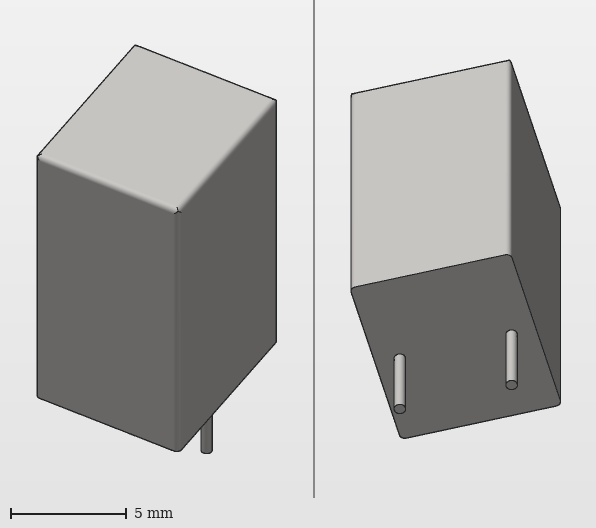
import cadquery as cq

body_width = 7.2
body_depth = 8.5
body_height = 14.0
edge_radius = 0.25

lead_diameter = 0.5
lead_pitch = 5.0
lead_length = 3.6


def make_rounded_box(edges):
    """Box standing on Z = 0 with only the selected edges rounded."""
    box = cq.Workplane("XY").box(body_width, body_depth, body_height, centered=(True, True, False))
    return box.edges(edges).fillet(edge_radius)


def make_body():
    """Box with a flat base and the other edges rounded.

    The roundings run straight to the ends of the box, so they meet in mitred seams at the
    top corners. The shape is what three boxes, each rounded along one axis, have in common.
    """
    upright_rounded = make_rounded_box("|Z")
    lengthwise_rounded = make_rounded_box("|X and >Z")
    crosswise_rounded = make_rounded_box("|Y and >Z")
    return upright_rounded.intersect(lengthwise_rounded).intersect(crosswise_rounded)


def make_lead(x):
    """Round lead hanging down from the base of the body."""
    return cq.Workplane("XY").center(x, 0).circle(lead_diameter / 2).extrude(-lead_length)


body = make_body()
leads = [make_lead(side * lead_pitch / 2) for side in (-1, 1)]

result = cq.Compound.makeCompound([body.solids().val(), *[lead.val() for lead in leads]])